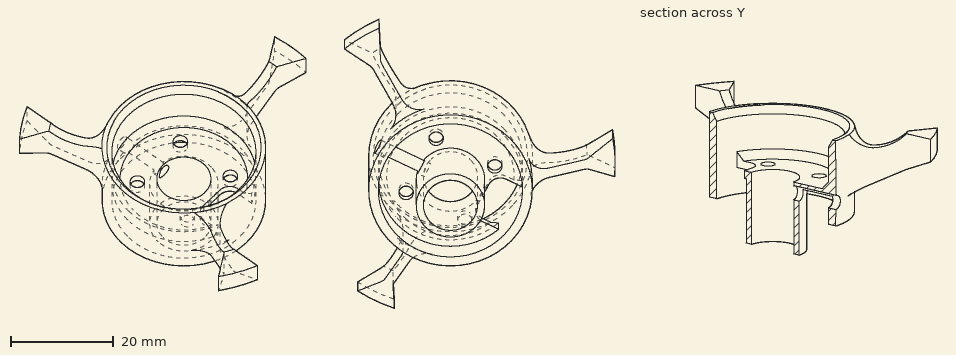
import cadquery as cq
import math

BODY_RADIUS = 15.9
RIM_Z = 17.3
FLOOR_Z = 7.0
FLOOR_THICKNESS = 1.6
CAVITY_RADIUS = 14.0
RIM_RADIUS = 15.0
RIM_CHAMFER_DEPTH = 1.6
FLOOR_CHAMFER = 1.6

HUB_RADIUS = 6.65
HUB_LENGTH = 7.6
BORE_RADIUS = 5.25

SCREW_PITCH = 12.8
SCREW_DIAMETER = 2.8
WINDOW_INNER_X = 7.1
WINDOW_WIDTH = 10.0
WINDOW_CORNER_RADIUS = 2.5

SET_SCREW_DIAMETER = 2.8
SET_SCREW_Z = 4.8

ARM_COUNT = 3
FIRST_ARM_ANGLE = 90.0
ARM_HALF_WIDTH = 1.0
ROOT_FILLET = 3.8
TIP_RADIUS = 32.0
PADDLE_TIP_HALF_WIDTH = 4.02
PADDLE_NECK_FILLET = 2.0
PADDLE_SIDE_ANGLE = 30.0
ARM_TIP_HEIGHT = 4.6
ARM_ROOT_HEIGHT = 12.3
SCOOP_OUTER_RADIUS = 26.5
SCOOP_INNER_RADIUS = 20.0
SCOOP_DEPTH = 3.15

tip_corner_x = math.sqrt(TIP_RADIUS**2 - PADDLE_TIP_HALF_WIDTH**2)
paddle_length = (PADDLE_TIP_HALF_WIDTH - ARM_HALF_WIDTH) / math.tan(math.radians(PADDLE_SIDE_ANGLE))
neck_x = tip_corner_x - paddle_length
wall_middle_radius = (CAVITY_RADIUS + BODY_RADIUS) / 2
fillet_center_y = ARM_HALF_WIDTH + ROOT_FILLET
fillet_center_x = math.sqrt((BODY_RADIUS + ROOT_FILLET)**2 - fillet_center_y**2)
fillet_angle = math.atan2(fillet_center_y, fillet_center_x)


def make_cup():
    """Turned cup and hub, hollow above the floor and, around the hub, below it."""
    floor_bottom_z = FLOOR_Z - FLOOR_THICKNESS
    profile = [
        (BORE_RADIUS, -HUB_LENGTH),
        (HUB_RADIUS, -HUB_LENGTH),
        (HUB_RADIUS, floor_bottom_z),
        (CAVITY_RADIUS, floor_bottom_z),
        (CAVITY_RADIUS, 0),
        (BODY_RADIUS, 0),
        (BODY_RADIUS, RIM_Z),
        (RIM_RADIUS, RIM_Z),
        (CAVITY_RADIUS, RIM_Z - RIM_CHAMFER_DEPTH),
        (CAVITY_RADIUS, FLOOR_Z + FLOOR_CHAMFER),
        (CAVITY_RADIUS - FLOOR_CHAMFER, FLOOR_Z),
        (BORE_RADIUS, FLOOR_Z),
    ]
    return cq.Workplane("XZ").polyline(profile).close().revolve(360, (0, 0), (0, 1))


def make_arm_plan():
    """Full-height prism of one arm along +X, with filleted root and flared paddle."""
    root_x = BODY_RADIUS * math.cos(fillet_angle)
    root_y = BODY_RADIUS * math.sin(fillet_angle)
    core_x = wall_middle_radius * math.cos(fillet_angle)
    core_y = wall_middle_radius * math.sin(fillet_angle)
    to_axis_angle = math.pi + fillet_angle
    minus_y_angle = 1.5 * math.pi
    mid_angle = (to_axis_angle + minus_y_angle) / 2
    mid_x = fillet_center_x + ROOT_FILLET * math.cos(mid_angle)
    mid_y = fillet_center_y + ROOT_FILLET * math.sin(mid_angle)
    prism = (
        cq.Workplane("XY")
        .moveTo(core_x, core_y)
        .lineTo(root_x, root_y)
        .threePointArc((mid_x, mid_y), (fillet_center_x, ARM_HALF_WIDTH))
        .lineTo(neck_x, ARM_HALF_WIDTH)
        .lineTo(tip_corner_x, PADDLE_TIP_HALF_WIDTH)
        .threePointArc((TIP_RADIUS, 0), (tip_corner_x, -PADDLE_TIP_HALF_WIDTH))
        .lineTo(neck_x, -ARM_HALF_WIDTH)
        .lineTo(fillet_center_x, -ARM_HALF_WIDTH)
        .threePointArc((mid_x, -mid_y), (root_x, -root_y))
        .lineTo(core_x, -core_y)
        .threePointArc((wall_middle_radius, 0), (core_x, core_y))
        .close()
        .extrude(RIM_Z)
    )
    neck_box = cq.selectors.BoxSelector(
        (neck_x - ARM_HALF_WIDTH, -2 * ARM_HALF_WIDTH, 0),
        (neck_x + ARM_HALF_WIDTH, 2 * ARM_HALF_WIDTH, RIM_Z),
    )
    return prism.edges("|Z").edges(neck_box).fillet(PADDLE_NECK_FILLET)


def make_arm_envelope():
    """Ring turned about Z that sets the arm heights: scooped top and conical underside."""
    outer_radius = TIP_RADIUS + 1
    slope = (ARM_ROOT_HEIGHT - ARM_TIP_HEIGHT) / (TIP_RADIUS - BODY_RADIUS)
    root_z = RIM_Z - ARM_ROOT_HEIGHT
    center_r = BODY_RADIUS + ROOT_FILLET
    center_z = RIM_Z - SCOOP_DEPTH + ROOT_FILLET
    scoop_start_z = center_z - math.sqrt(ROOT_FILLET**2 - (SCOOP_INNER_RADIUS - center_r)**2)
    return (
        cq.Workplane("XZ")
        .moveTo(BODY_RADIUS, center_z)
        .threePointArc((center_r, RIM_Z - SCOOP_DEPTH), (SCOOP_INNER_RADIUS, scoop_start_z))
        .tangentArcPoint((SCOOP_OUTER_RADIUS, RIM_Z), relative=False)
        .lineTo(outer_radius, RIM_Z)
        .lineTo(outer_radius, root_z + slope * (outer_radius - BODY_RADIUS))
        .lineTo(BODY_RADIUS, root_z)
        .lineTo(wall_middle_radius, root_z)
        .lineTo(wall_middle_radius, center_z)
        .close()
        .revolve(360, (0, 0), (0, 1))
    )


def make_screw_holes():
    """Four through holes in a square around the bore."""
    return (
        cq.Workplane("XY")
        .rect(SCREW_PITCH, SCREW_PITCH, forConstruction=True)
        .vertices()
        .circle(SCREW_DIAMETER / 2)
        .extrude(RIM_Z)
    )


def make_window():
    """Through opening in the floor on the +X side, bounded by the cavity wall."""
    length = 2 * (CAVITY_RADIUS - WINDOW_INNER_X)
    slot = (
        cq.Workplane("XY")
        .center(WINDOW_INNER_X + length / 2, 0)
        .rect(length, WINDOW_WIDTH)
        .extrude(RIM_Z)
        .edges("|Z and <X")
        .fillet(WINDOW_CORNER_RADIUS)
    )
    return slot.intersect(cq.Workplane("XY").circle(CAVITY_RADIUS).extrude(RIM_Z))


def make_set_screw_hole():
    """Radial hole from the -X side into the bore."""
    return (
        cq.Workplane("YZ", origin=(-BODY_RADIUS, 0, 0))
        .center(0, SET_SCREW_Z)
        .circle(SET_SCREW_DIAMETER / 2)
        .extrude(BODY_RADIUS)
    )


result = make_cup()
arm = make_arm_plan().intersect(make_arm_envelope())
for index in range(ARM_COUNT):
    arm_angle = FIRST_ARM_ANGLE + index * 360 / ARM_COUNT
    result = result.union(arm.rotate((0, 0, 0), (0, 0, 1), arm_angle))
result = result.cut(make_screw_holes()).cut(make_window()).cut(make_set_screw_hole())